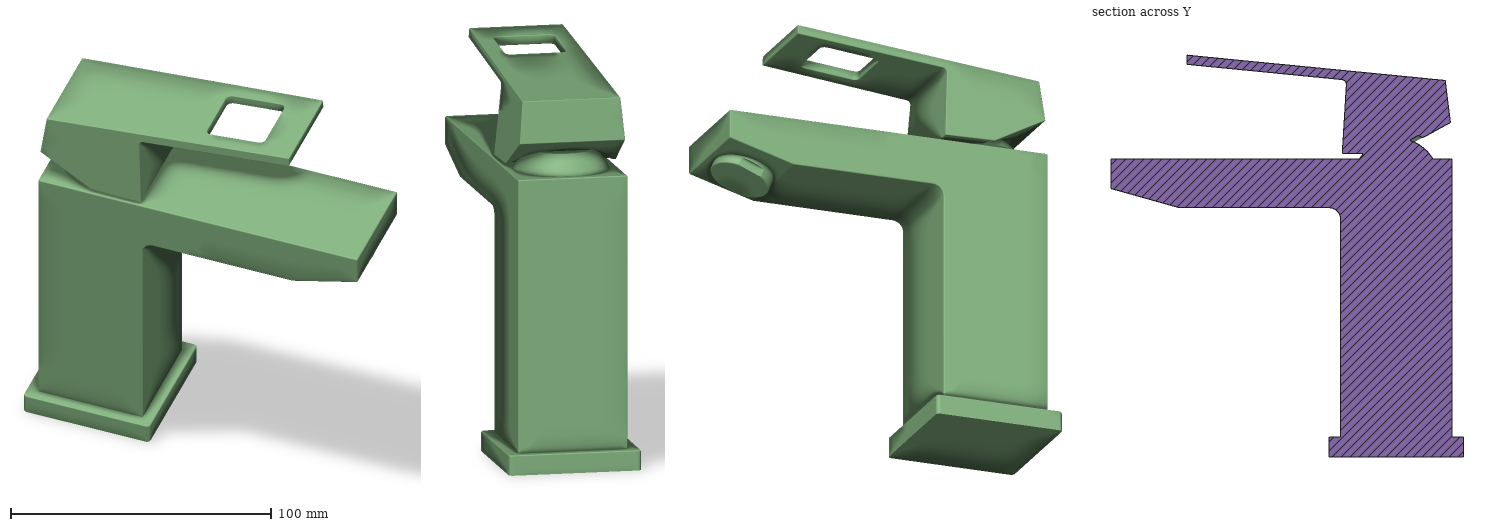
import cadquery as cq
import math

OVERALL_HEIGHT = 154.8
OVERALL_LENGTH = 136.0
BASE_SIZE = 52.0
BASE_HEIGHT = 7.9
BASE_CORNER_RADIUS = 1.5
COLUMN_SIZE = 43.0
BODY_TOP = 114.9
EDGE_RADIUS = 0.5

SPOUT_END = OVERALL_LENGTH - BASE_SIZE / 2
SPOUT_UNDERSIDE = 96.0
SPOUT_RAMP_START = 83.5
SPOUT_TIP_UNDERSIDE = 103.5
SPOUT_ROOT_RADIUS = 4.3

AERATOR_DIAMETER = 23.8
AERATOR_MOUTH_X = 97.5
AERATOR_MOUTH_Z = 95.0
AERATOR_TILT = 22.0
AERATOR_LENGTH = 7.7
AERATOR_RIM_RADIUS = 0.5
AERATOR_FLAT_DEPTH = 1.1
AERATOR_FLAT_HEIGHT = 3.4

DOME_RADIUS = 20.6
DOME_CENTRE_Z = 106.4
DOME_TOP = 122.6
DOME_OVERLAP = 1.5
SOCKET_RADIUS = 22.9
SOCKET_DEPTH = 1.5

LEVER_TIP_X = 80.7
LEVER_BACK_X = -18.9
LEVER_HEEL_X = -20.9
LEVER_HEEL_Z = 128.8
LEVER_BEND_X = 0.3
LEVER_BEND_Z = 117.2
LEVER_FRONT_BOTTOM_X = 20.9
LEVER_BOTTOM = 116.7
LEVER_FRONT_TOP_X = 19.2
LEVER_THICKNESS = 3.7
LEVER_ROOT_RADIUS = 1.9
LEVER_EDGE_RADIUS = 0.3
LEVER_BOTTOM_WIDTH = 43.7
LEVER_TOP_WIDTH = 36.8
LEVER_SLOPE = 0.098

LEVER_TOP = OVERALL_HEIGHT + LEVER_EDGE_RADIUS * (LEVER_SLOPE + math.hypot(1, LEVER_SLOPE) - 1)
LEVER_BACK_TOP = LEVER_TOP - LEVER_SLOPE * (LEVER_TIP_X - LEVER_BACK_X)

WINDOW_SIZE = 24.0
WINDOW_CENTRE_X = 55.7
WINDOW_CORNER_RADIUS = 2.3


def make_base():
    base = cq.Workplane("XY").rect(BASE_SIZE, BASE_SIZE).extrude(BASE_HEIGHT)
    return base.edges("|Z").fillet(BASE_CORNER_RADIUS).faces(">Z").edges().fillet(EDGE_RADIUS)


def make_body():
    """Square column and spout, extruded from one side outline."""
    half = COLUMN_SIZE / 2
    outline = [
        (-half, 0),
        (half, 0),
        (half, SPOUT_UNDERSIDE),
        (SPOUT_RAMP_START, SPOUT_UNDERSIDE),
        (SPOUT_END, SPOUT_TIP_UNDERSIDE),
        (SPOUT_END, BODY_TOP),
        (-half, BODY_TOP),
    ]
    body = cq.Workplane("XZ").polyline(outline).close().extrude(half, both=True)
    root = cq.selectors.NearestToPointSelector((half, 0, SPOUT_UNDERSIDE))
    body = body.edges(root).fillet(SPOUT_ROOT_RADIUS)
    return body.edges("not <Z").fillet(EDGE_RADIUS)


def make_aerator():
    """Tilted round outlet with a wrench flat on each side."""
    tilt = math.radians(AERATOR_TILT)
    mouth = cq.Plane(
        origin=(AERATOR_MOUTH_X, 0, AERATOR_MOUTH_Z),
        xDir=(math.cos(tilt), 0, math.sin(tilt)),
        normal=(-math.sin(tilt), 0, math.cos(tilt)),
    )
    aerator = cq.Workplane(mouth).circle(AERATOR_DIAMETER / 2).extrude(AERATOR_LENGTH)
    aerator = aerator.faces("<Z").edges().fillet(AERATOR_RIM_RADIUS)
    for side in (-1, 1):
        flat = (
            cq.Workplane(mouth)
            .center(0, side * AERATOR_DIAMETER / 2)
            .rect(AERATOR_DIAMETER, 2 * AERATOR_FLAT_DEPTH)
            .extrude(AERATOR_FLAT_HEIGHT)
        )
        aerator = aerator.cut(flat)
    return aerator


def make_dome():
    """Flat-topped slice of a ball, standing on the body and running up into the lever."""
    ball = cq.Workplane("XY").sphere(DOME_RADIUS).translate((0, 0, DOME_CENTRE_Z))
    band = (
        cq.Workplane("XY", origin=(0, 0, BODY_TOP - DOME_OVERLAP))
        .circle(DOME_RADIUS)
        .extrude(DOME_TOP - BODY_TOP + DOME_OVERLAP)
    )
    return ball.intersect(band)


def lever_top_at(x):
    return LEVER_BACK_TOP + LEVER_SLOPE * (x - LEVER_BACK_X)


def make_lever_blank():
    """Lever with leaning sides, before the window and socket are cut and its edges rounded."""
    underside_z = lever_top_at(LEVER_FRONT_TOP_X) - LEVER_THICKNESS
    outline = [
        (LEVER_BACK_X, LEVER_BACK_TOP),
        (LEVER_TIP_X, LEVER_TOP),
        (LEVER_TIP_X, LEVER_TOP - LEVER_THICKNESS),
        (LEVER_FRONT_TOP_X, underside_z),
        (LEVER_FRONT_BOTTOM_X, LEVER_BOTTOM),
        (LEVER_BEND_X, LEVER_BEND_Z),
        (LEVER_HEEL_X, LEVER_HEEL_Z),
    ]
    blank = cq.Workplane("XZ").polyline(outline).close().extrude(LEVER_BOTTOM_WIDTH, both=True)
    root = cq.selectors.NearestToPointSelector((LEVER_FRONT_TOP_X, 0, underside_z))
    blank = blank.edges(root).fillet(LEVER_ROOT_RADIUS)

    cross_section = [
        (-LEVER_BOTTOM_WIDTH / 2, LEVER_BOTTOM),
        (LEVER_BOTTOM_WIDTH / 2, LEVER_BOTTOM),
        (LEVER_TOP_WIDTH / 2, LEVER_TOP),
        (-LEVER_TOP_WIDTH / 2, LEVER_TOP),
    ]
    side_limits = cq.Workplane("YZ").polyline(cross_section).close().extrude(LEVER_TIP_X, both=True)
    return blank.intersect(side_limits)


def make_window():
    """Rounded square cutter, square to the sloping top of the lever."""
    top_plane = cq.Plane(
        origin=(WINDOW_CENTRE_X, 0, lever_top_at(WINDOW_CENTRE_X)),
        xDir=(1, 0, LEVER_SLOPE),
        normal=(-LEVER_SLOPE, 0, 1),
    )
    window = cq.Workplane(top_plane).rect(WINDOW_SIZE, WINDOW_SIZE).extrude(2 * LEVER_THICKNESS, both=True)
    corners = cq.selectors.ParallelDirSelector(top_plane.zDir)
    return window.edges(corners).fillet(WINDOW_CORNER_RADIUS)


def make_socket():
    """Shallow clearance around the dome, sunk into the slanted heel face of the lever."""
    run = LEVER_BEND_X - LEVER_HEEL_X
    drop = LEVER_HEEL_Z - LEVER_BEND_Z
    heel_face = cq.Plane(
        origin=(LEVER_BEND_X, 0, LEVER_BEND_Z),
        xDir=(run, 0, -drop),
        normal=(drop, 0, run),
    )
    slab = cq.Workplane(heel_face).circle(2 * SOCKET_RADIUS).extrude(SOCKET_DEPTH)
    ball = cq.Workplane("XY").sphere(SOCKET_RADIUS).translate((0, 0, DOME_CENTRE_Z))
    return ball.intersect(slab)


def make_lever():
    lever = make_lever_blank().cut(make_window())
    return lever.edges().fillet(LEVER_EDGE_RADIUS).cut(make_socket())


result = make_base().union(make_body()).union(make_aerator()).union(make_lever()).union(make_dome())